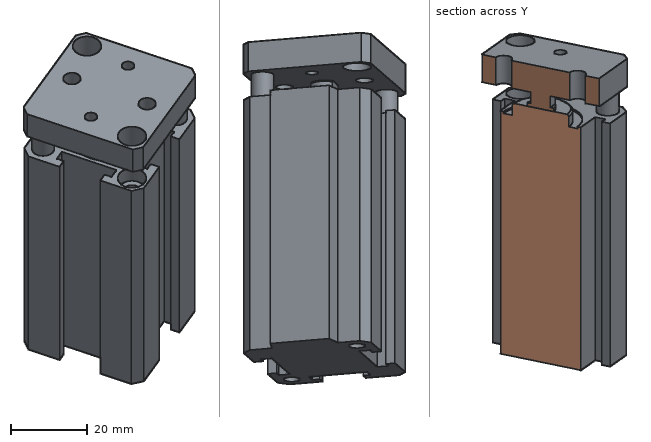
import cadquery as cq

TOTAL_HEIGHT = 84.0
SIDE = 35.0
HALF_SIDE = SIDE / 2
CORNER_OFFSET = 13.0

HOUSING_HEIGHT = 69.05
HOUSING_CHAMFER = 2.4
SLOT_OPENING = 11.9
SLOT_UNDERCUT = 2.0
LIP_THICKNESS = 2.5
SLOT_FLOOR_OFFSET = 12.0
RAIL_BASE_WIDTH = 18.15
RAIL_TOP_WIDTH = 16.1
RAIL_HEIGHT = 4.45
MOUNT_HOLE_DIAMETER = 4.3
COUNTERBORE_DIAMETER = 7.5
COUNTERBORE_DEPTH = 4.45
RECESS_DIAMETER = 22.0
RECESS_DEPTH = 0.5
COLLAR_DIAMETER = 17.0
COLLAR_HEIGHT = 2.9
COLLAR_CHAMFER = 0.5

PLATE_THICKNESS = 8.0
PLATE_CHAMFER = 2.0
ACCESS_HOLE_DIAMETER = 7.5
FIXING_HOLE_OFFSET = 11.0
X_FIXING_HOLE_DIAMETER = 4.5
Y_FIXING_HOLE_DIAMETER = 3.3
GUIDE_ROD_DIAMETER = 6.0
PISTON_ROD_DIAMETER = 8.0
ROD_SHOULDER_HEIGHT = 0.9
FLATS_WIDTH = 6.0
ROD_CHAMFER = 0.4

PLATE_BOTTOM = TOTAL_HEIGHT - PLATE_THICKNESS
COLLAR_TOP = HOUSING_HEIGHT + COLLAR_HEIGHT

MOUNT_POINTS = [(-CORNER_OFFSET, CORNER_OFFSET), (CORNER_OFFSET, -CORNER_OFFSET)]
GUIDE_POINTS = [(-CORNER_OFFSET, -CORNER_OFFSET), (CORNER_OFFSET, CORNER_OFFSET)]


def cylinders(points, diameter, bottom, height):
    """Equal vertical cylinders standing on the level `bottom`."""
    return cq.Workplane().workplane(offset=bottom).pushPoints(points).circle(diameter / 2).extrude(height)


def chamfered_square(chamfer, bottom, height):
    """Square block around the axis with its four upright edges chamfered."""
    block = cq.Workplane().workplane(offset=bottom).rect(SIDE, SIDE).extrude(height)
    return block.edges("|Z").chamfer(chamfer)


def t_slot():
    """Full-height T-slot cutter for the -Y side."""
    lip_back = HALF_SIDE - LIP_THICKNESS
    opening = (
        cq.Workplane()
        .center(0, -(HALF_SIDE + SLOT_FLOOR_OFFSET) / 2)
        .rect(SLOT_OPENING, HALF_SIDE - SLOT_FLOOR_OFFSET)
        .extrude(HOUSING_HEIGHT)
    )
    undercut = (
        cq.Workplane()
        .center(0, -(lip_back + SLOT_FLOOR_OFFSET) / 2)
        .rect(SLOT_OPENING + 2 * SLOT_UNDERCUT, lip_back - SLOT_FLOOR_OFFSET)
        .extrude(HOUSING_HEIGHT)
    )
    return opening.union(undercut)


def rail():
    """Full-height tapered rail on the +Y side."""
    rail_top = HALF_SIDE + RAIL_HEIGHT
    outline = [
        (-RAIL_BASE_WIDTH / 2, HALF_SIDE),
        (RAIL_BASE_WIDTH / 2, HALF_SIDE),
        (RAIL_TOP_WIDTH / 2, rail_top),
        (-RAIL_TOP_WIDTH / 2, rail_top),
    ]
    return cq.Workplane().polyline(outline).close().extrude(HOUSING_HEIGHT)


def collar():
    """Rod collar rising from the floor of the round recess."""
    recess_floor = HOUSING_HEIGHT - RECESS_DEPTH
    ring = cylinders([(0, 0)], COLLAR_DIAMETER, recess_floor, COLLAR_TOP - recess_floor)
    return ring.faces(">Z").chamfer(COLLAR_CHAMFER)


def make_housing():
    housing = chamfered_square(HOUSING_CHAMFER, 0, HOUSING_HEIGHT).union(rail())

    for angle in (-90, 0, 90):
        housing = housing.cut(t_slot().rotate((0, 0, 0), (0, 0, 1), angle))

    counterbore_floor = HOUSING_HEIGHT - COUNTERBORE_DEPTH
    housing = housing.cut(cylinders(MOUNT_POINTS, MOUNT_HOLE_DIAMETER, 0, HOUSING_HEIGHT))
    housing = housing.cut(cylinders(MOUNT_POINTS, COUNTERBORE_DIAMETER, counterbore_floor, COUNTERBORE_DEPTH))

    recess = cylinders([(0, 0)], RECESS_DIAMETER, HOUSING_HEIGHT - RECESS_DEPTH, RECESS_DEPTH)
    return housing.cut(recess).union(collar())


def piston_rod():
    """Piston rod from the collar to the plate, with two wrench flats facing -X and +X."""
    length = PLATE_BOTTOM - COLLAR_TOP
    rod = cylinders([(0, 0)], PISTON_ROD_DIAMETER, COLLAR_TOP, length).faces(">Z").chamfer(ROD_CHAMFER)
    shoulder = cylinders([(0, 0)], PISTON_ROD_DIAMETER, COLLAR_TOP, ROD_SHOULDER_HEIGHT)
    flats = (
        cq.Workplane()
        .workplane(offset=COLLAR_TOP)
        .rect(FLATS_WIDTH, PISTON_ROD_DIAMETER)
        .extrude(length)
    )
    return rod.intersect(flats.union(shoulder))


def make_slide():
    plate = chamfered_square(PLATE_CHAMFER, PLATE_BOTTOM, PLATE_THICKNESS)

    x_fixing_points = [(-FIXING_HOLE_OFFSET, 0), (FIXING_HOLE_OFFSET, 0)]
    y_fixing_points = [(0, -FIXING_HOLE_OFFSET), (0, FIXING_HOLE_OFFSET)]
    for points, diameter in (
        (MOUNT_POINTS, ACCESS_HOLE_DIAMETER),
        (x_fixing_points, X_FIXING_HOLE_DIAMETER),
        (y_fixing_points, Y_FIXING_HOLE_DIAMETER),
    ):
        plate = plate.cut(cylinders(points, diameter, PLATE_BOTTOM, PLATE_THICKNESS))

    guide_rods = cylinders(GUIDE_POINTS, GUIDE_ROD_DIAMETER, HOUSING_HEIGHT, PLATE_BOTTOM - HOUSING_HEIGHT)
    return plate.union(guide_rods).union(piston_rod())


housing = make_housing()
slide = make_slide()

result = cq.Compound.makeCompound([housing.val(), slide.val()])